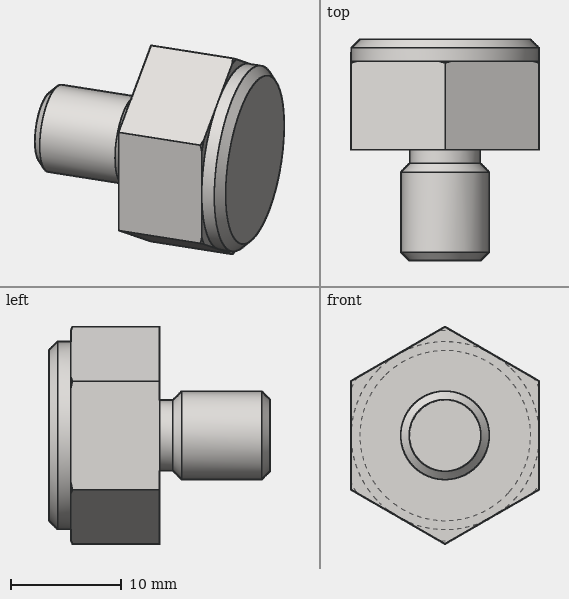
import cadquery as cq
import math

across_flats = 17.0
hex_length = 8.0
cap_length = 2.0
cap_chamfer = 0.8
neck_diameter = 6.4
neck_length = 1.2
stud_diameter = 8.0
stud_length = 10.0
tip_chamfer = 0.75

corner_bevel_radial = 0.3
corner_bevel_axial = 0.15

across_corners = across_flats / math.cos(math.pi / 6)
corner_radius = across_corners / 2
cap_radius = across_flats / 2
stud_radius = stud_diameter / 2
neck_radius = neck_diameter / 2
head_end = hex_length + cap_length
shoulder = stud_radius - neck_radius


def revolve_about_y(points):
    """Turn a closed (radius, y) outline around the Y axis."""
    return cq.Workplane("XY").polyline(points).close().revolve(360, (0, 0, 0), (0, 1, 0))


def make_hexagon():
    """Hexagonal prism with corners on +Z and -Z, bevelled at its cap end."""
    prism = (
        cq.Workplane("XZ")
        .transformed(rotate=(0, 0, 90))
        .polygon(6, across_corners)
        .extrude(-hex_length)
    )
    bevel_envelope = revolve_about_y([
        (0, 0),
        (corner_radius, 0),
        (corner_radius, hex_length - corner_bevel_axial),
        (corner_radius - corner_bevel_radial, hex_length),
        (0, hex_length),
    ])
    return prism.intersect(bevel_envelope)


def make_cap():
    """Round cap with a chamfered end."""
    return revolve_about_y([
        (0, hex_length),
        (cap_radius, hex_length),
        (cap_radius, head_end - cap_chamfer),
        (cap_radius - cap_chamfer, head_end),
        (0, head_end),
    ])


def make_stud():
    """Undercut neck, conical shoulder and stud with a chamfered tip."""
    return revolve_about_y([
        (0, 0),
        (neck_radius, 0),
        (neck_radius, -neck_length),
        (stud_radius, -neck_length - shoulder),
        (stud_radius, -stud_length + tip_chamfer),
        (stud_radius - tip_chamfer, -stud_length),
        (0, -stud_length),
    ])


result = make_hexagon().union(make_cap()).union(make_stud())